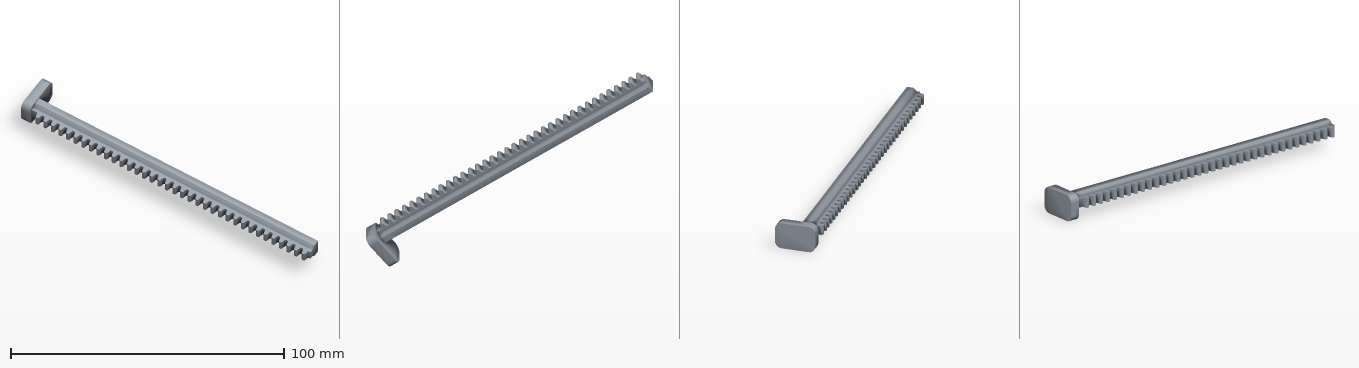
import cadquery as cq
import math

HEAD_LENGTH = 3.81
HEAD_WIDTH = 15.494
HEAD_HEIGHT = 10.16
HEAD_CORNER_RADIUS = 2.54

TOTAL_LENGTH = 125.0
TOTAL_WIDTH = 16.34
BAR_CHAMFER = 1.27
BAR_TOP_FLAT = 2.54
BAR_TOP_DROP = 0.635
TOOTHED_LEDGE = 1.31

FACE_HEIGHT = 3.81
TOOTH_PITCH = 3.302
TOOTH_COUNT = 36
FIRST_TOOTH_X = 7.405
TOOTH_HEIGHT = 2.08
TOOTH_TIP_WIDTH = 1.18
FLANK_ANGLE = 12.5
TOOTH_TIP_RADIUS = 0.48
TOOTH_ROOT_RADIUS = 0.525

TOLERANCE = 1e-6

tip_y = HEAD_WIDTH - TOTAL_WIDTH
root_y = tip_y + TOOTH_HEIGHT
chamfer_front_y = root_y + TOOTHED_LEDGE
chamfer_back_y = chamfer_front_y + BAR_CHAMFER
bar_back_y = chamfer_back_y + BAR_TOP_FLAT

bar_top_z = HEAD_HEIGHT / 2 - BAR_TOP_DROP
face_top_z = bar_top_z - BAR_CHAMFER
face_bottom_z = face_top_z - FACE_HEIGHT
bar_bottom_z = face_bottom_z - BAR_CHAMFER


def make_head():
    slab = cq.Workplane("XY").box(HEAD_LENGTH, HEAD_WIDTH, HEAD_HEIGHT, centered=(False, False, True))
    return slab.edges("|X").fillet(HEAD_CORNER_RADIUS)


def make_bar():
    section = [
        (bar_back_y, bar_bottom_z),
        (bar_back_y, bar_top_z),
        (chamfer_back_y, bar_top_z),
        (chamfer_front_y, face_top_z),
        (root_y, face_top_z),
        (root_y, face_bottom_z),
        (chamfer_front_y, face_bottom_z),
        (chamfer_back_y, bar_bottom_z),
    ]
    return cq.Workplane("YZ").polyline(section).close().extrude(TOTAL_LENGTH)


def round_corner_pair(tooth, half_width, y, radius):
    """Fillet the two upright edges of a tooth that stand at x = +/- half_width."""
    reach = half_width + TOLERANCE
    corner_pair = cq.selectors.BoxSelector(
        (-reach, y - TOLERANCE, face_bottom_z),
        (reach, y + TOLERANCE, face_top_z),
    )
    return tooth.edges("|Z").edges(corner_pair).fillet(radius)


def make_tooth():
    """One tooth on a pitch-wide strip that sinks into the bar, rounded at its tip and root."""
    half_pitch = TOOTH_PITCH / 2
    half_tip = TOOTH_TIP_WIDTH / 2
    half_root = half_tip + TOOTH_HEIGHT * math.tan(math.radians(FLANK_ANGLE))
    outline = [
        (-half_pitch, chamfer_front_y),
        (-half_pitch, root_y),
        (-half_root, root_y),
        (-half_tip, tip_y),
        (half_tip, tip_y),
        (half_root, root_y),
        (half_pitch, root_y),
        (half_pitch, chamfer_front_y),
    ]
    tooth = cq.Workplane("XY", origin=(0, 0, face_bottom_z)).polyline(outline).close().extrude(FACE_HEIGHT)
    tooth = round_corner_pair(tooth, half_tip, tip_y, TOOTH_TIP_RADIUS)
    return round_corner_pair(tooth, half_root, root_y, TOOTH_ROOT_RADIUS)


def make_teeth():
    tooth = make_tooth().val()
    centers = [(FIRST_TOOTH_X + i * TOOTH_PITCH, 0) for i in range(TOOTH_COUNT)]
    return cq.Workplane("XY").pushPoints(centers).eachpoint(lambda place: tooth.moved(place))


result = make_bar().union(make_teeth()).union(make_head()).clean()